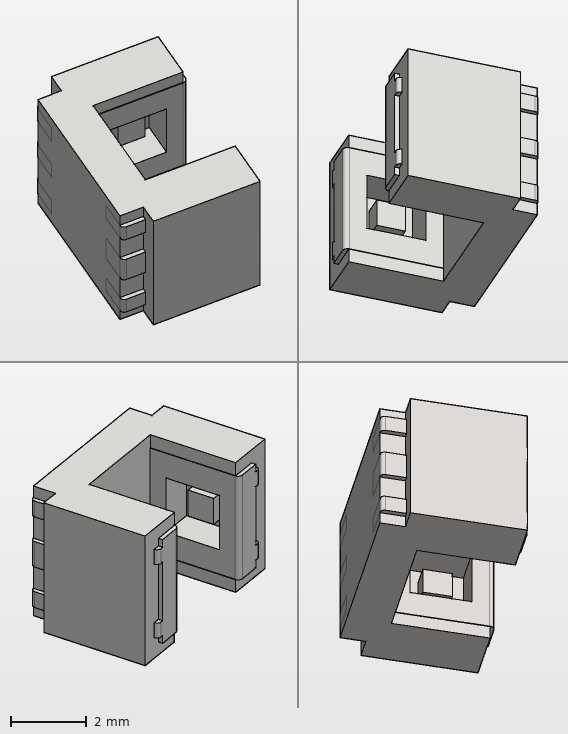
import cadquery as cq

width = 5.9
depth = 4.0
height = 4.0
lead_thickness = 0.13
bend_radius = 0.125

gap_width = 3.015
floor_thickness = 1.2
shoulder_height = 0.695
base_width = 4.745
front_y = -depth / 2
back_y = depth / 2 - lead_thickness
floor_y = front_y + floor_thickness
shoulder_y = front_y + shoulder_height

terminal_length = 0.925
terminal_height = 0.49
wide_terminal_height = 0.785
terminal_pitch = 1.4

plate_height = 3.2
plate_corner_radius = 0.15
plate_proud = 0.02
plate_fold_width = 0.8
plate_inner_x = gap_width / 2 - plate_proud
plate_outer_x = plate_inner_x + plate_fold_width

tab_height = 0.46
tab_offset = 1.13
terminal_outer_x = base_width / 2 + lead_thickness

window_margin = 0.5
window_size = back_y - floor_y - 2 * window_margin
window_y = (back_y + floor_y) / 2
window_depth = 1.005
chip_size = 0.8
chip_recess = 0.4


def box(x_range, y_range, z_height, z_center=0.0):
    """Box between two X and two Y positions, centred on z_center."""
    x_size = x_range[1] - x_range[0]
    y_size = y_range[1] - y_range[0]
    center = (sum(x_range) / 2, sum(y_range) / 2, z_center)
    return cq.Workplane("XY").box(x_size, y_size, z_height).translate(center)


def housing():
    """U-shaped body with a narrower base in front of its shoulders."""
    arms = box((-width / 2, width / 2), (shoulder_y, back_y), height)
    base = box((-base_width / 2, base_width / 2), (front_y, shoulder_y), height)
    gap = box((-gap_width / 2, gap_width / 2), (floor_y, back_y), height)
    return arms.union(base).cut(gap)


def terminal(z_height, z_center):
    """Right-hand terminal: flush with the base front and standing proud of its side."""
    x_range = (terminal_outer_x - terminal_length, terminal_outer_x)
    front_leg = box(x_range, (front_y, front_y + lead_thickness), z_height, z_center)
    side_leg = box((base_width / 2, terminal_outer_x), (front_y, shoulder_y), z_height, z_center)
    bent = front_leg.union(side_leg)
    return bent.edges("|Z and >X and <Y").fillet(bend_radius)


def shield_plate():
    """Right-hand plate: gap lining, rounded fold over the arm end and two round-ended tabs."""
    back_range = (back_y, back_y + lead_thickness)
    lining_range = (plate_inner_x, plate_inner_x + lead_thickness)
    lining = box(lining_range, (floor_y, back_range[1]), plate_height)
    fold = box((plate_inner_x, plate_outer_x), back_range, plate_height)
    plate = lining.union(fold).edges("|Z and <X and >Y").fillet(plate_corner_radius)
    for z_center in (-tab_offset, tab_offset):
        tab = box((plate_outer_x, terminal_outer_x), back_range, tab_height, z_center)
        plate = plate.union(tab.edges("|Z and >X and >Y").fillet(bend_radius))
    return plate


def window_pocket():
    """Right-hand window opening, with the chip left standing on its floor."""
    y_range = (window_y - window_size / 2, window_y + window_size / 2)
    chip_range = (window_y - chip_size / 2, window_y + chip_size / 2)
    floor_x = plate_inner_x + window_depth
    opening = box((plate_inner_x, floor_x), y_range, window_size)
    chip = box((plate_inner_x + chip_recess, floor_x), chip_range, chip_size)
    return opening.cut(chip)


def mirrored(shape):
    return shape.mirror("YZ")


result = housing()

result = result.union(shield_plate()).union(mirrored(shield_plate()))
result = result.cut(window_pocket()).cut(mirrored(window_pocket()))

for row in (-1, 0, 1):
    z_center = row * terminal_pitch
    right_height = wide_terminal_height if row == 0 else terminal_height
    result = result.union(terminal(right_height, z_center), clean=False)
    result = result.union(mirrored(terminal(terminal_height, z_center)), clean=False)